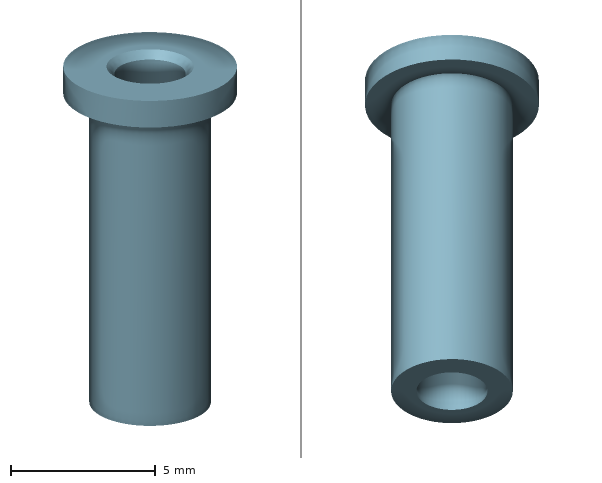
import cadquery as cq

total_length = 12.6
flange_diameter = 6.0
flange_thickness = 1.0
shank_diameter = 4.2
bore_diameter = 2.46
countersink_diameter = 3.0
countersink_angle = 90.0

shank_length = total_length - flange_thickness


def make_body():
    """Round shank standing on Z = 0 with a flange at its upper end."""
    shank = cq.Workplane("XY").circle(shank_diameter / 2).extrude(shank_length)
    flange = (
        cq.Workplane("XY")
        .workplane(offset=shank_length)
        .circle(flange_diameter / 2)
        .extrude(flange_thickness)
    )
    return shank.union(flange)


def cut_bore(body):
    """Through bore, countersunk at the flange face."""
    return body.faces(">Z").workplane().cskHole(bore_diameter, countersink_diameter, countersink_angle)


result = cut_bore(make_body())